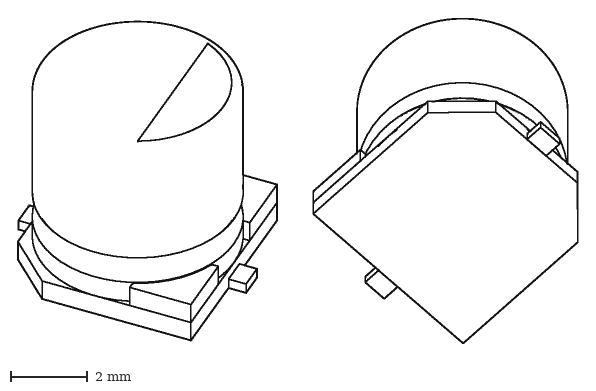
import cadquery as cq

base_side = 5.5
base_height = 0.6
corner_cut = 1.25

can_radius = base_side / 2
top_z = 5.7
rim_radius = 0.3
groove_bottom_z = 1.23
groove_top_z = 2.05
groove_depth = 0.15

mark_edge_x = 1.0
mark_thickness = 0.05

support_inner = 1.0
support_top_z = 1.2

overall_length = 6.5
terminal_width = 0.7
terminal_height = 0.3

half_side = base_side / 2
flat_radius = can_radius - rim_radius


def make_base():
    """Square plate with the two -X corners cut off."""
    plate = cq.Workplane("XY").box(base_side, base_side, base_height, centered=(True, True, False))
    return plate.edges("|Z and <X").chamfer(corner_cut)


def make_mark():
    """Segment of the can's flat top beyond the mark edge."""
    mark_bottom_z = top_z - mark_thickness
    disc = cq.Workplane("XY").workplane(offset=mark_bottom_z).circle(flat_radius).extrude(mark_thickness)
    keep = (
        cq.Workplane("XY")
        .box(can_radius, base_side, mark_thickness, centered=(False, True, False))
        .translate((mark_edge_x, 0, mark_bottom_z))
    )
    return disc.intersect(keep)


def make_can():
    """Round can with a rolled groove near the bottom and a rounded top rim."""
    groove_middle_z = (groove_bottom_z + groove_top_z) / 2
    profile = (
        cq.Workplane("XZ")
        .moveTo(0, base_height)
        .lineTo(can_radius, base_height)
        .lineTo(can_radius, groove_bottom_z)
        .threePointArc((can_radius - groove_depth, groove_middle_z), (can_radius, groove_top_z))
        .lineTo(can_radius, top_z - rim_radius)
        .tangentArcPoint((flat_radius, top_z), relative=False)
        .lineTo(0, top_z)
        .close()
    )
    can = profile.revolve(360, (0, 0, 0), (0, 1, 0))
    return can.cut(make_mark())


def make_support(side):
    """Corner block on the +Y (side=1) or -Y (side=-1) corner, hollowed to fit the can."""
    support_size = half_side - support_inner
    support_middle = (half_side + support_inner) / 2
    support_height = support_top_z - base_height
    block = (
        cq.Workplane("XY")
        .box(support_size, support_size, support_height, centered=(True, True, False))
        .translate((support_middle, side * support_middle, base_height))
    )
    can_space = cq.Workplane("XY").circle(can_radius).extrude(top_z)
    return block.cut(can_space)


def make_terminal(side):
    """Flat tab against the +X (side=1) or -X (side=-1) wall of the base."""
    terminal_length = (overall_length - base_side) / 2
    terminal_middle_x = (overall_length + base_side) / 4
    return (
        cq.Workplane("XY")
        .box(terminal_length, terminal_width, terminal_height, centered=(True, True, False))
        .translate((side * terminal_middle_x, 0, 0))
    )


base = make_base()
can = make_can()
mark = make_mark()
supports = [make_support(side) for side in (-1, 1)]
terminals = [make_terminal(side) for side in (-1, 1)]

bodies = [base, can, mark, *supports, *terminals]
result = cq.Compound.makeCompound([body.solids().val() for body in bodies])